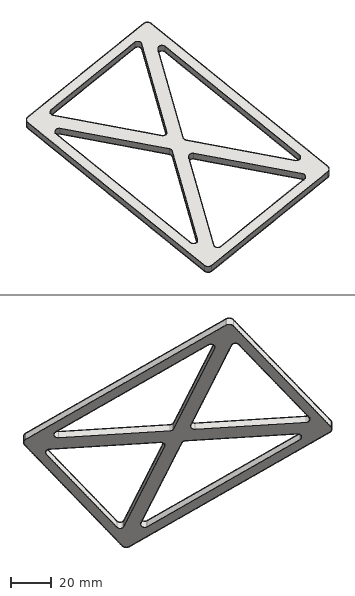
import cadquery as cq

length = 127.0
width = 85.0
thickness = 4.8
border = 5.0
brace_width = 7.0
brace_end_inset = 7.5
outer_radius = 2.5
window_radius = 2.0

opening_x = length / 2 - border
opening_y = width / 2 - border
brace_end_x = length / 2 - brace_end_inset
brace_end_y = width / 2 - brace_end_inset

brace_slope = brace_end_y / brace_end_x
edge_offset_y = brace_width / 2 * (1 + brace_slope**2) ** 0.5
edge_offset_x = edge_offset_y / brace_slope


def make_plate():
    """Solid plate with rounded vertical corners, resting on Z = 0."""
    plate = cq.Workplane("XY").box(length, width, thickness, centered=(True, True, False))
    return plate.edges("|Z").fillet(outer_radius)


def make_window(corners):
    """Triangular through-cutter with rounded corners."""
    prism = cq.Workplane("XY").polyline(corners).close().extrude(thickness)
    return prism.edges("|Z").fillet(window_radius)


def make_long_side_window(side):
    """Window next to a long side; side is +1 for +Y and -1 for -Y."""
    half_base = (opening_y - edge_offset_y) / brace_slope
    base_y = side * opening_y
    return make_window([(0, side * edge_offset_y), (half_base, base_y), (-half_base, base_y)])


def make_short_side_window(side):
    """Window next to a short side; side is +1 for +X and -1 for -X."""
    half_base = opening_x * brace_slope - edge_offset_y
    base_x = side * opening_x
    return make_window([(side * edge_offset_x, 0), (base_x, half_base), (base_x, -half_base)])


result = make_plate()
for direction in (1, -1):
    result = result.cut(make_long_side_window(direction))
    result = result.cut(make_short_side_window(direction))